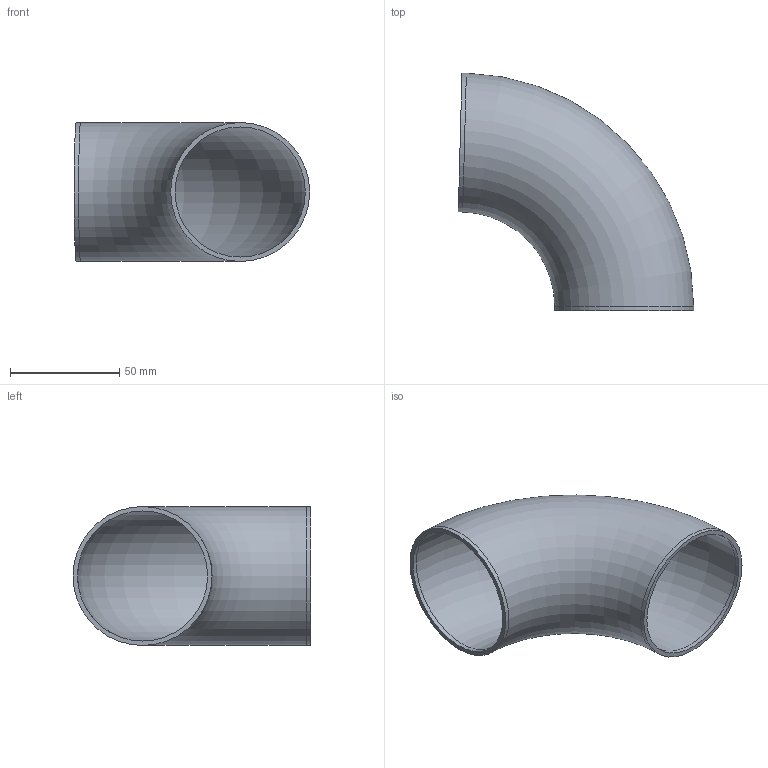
import cadquery as cq

outer_diameter = 63.5
inner_diameter = 59.5
bend_radius = 74.94
bend_angle = 88.5
collar_length = 2.0


def straight_collar():
    """Tube length running along -Y from the start of the bend."""
    return (
        cq.Workplane("XZ", origin=(bend_radius, 0, 0))
        .circle(outer_diameter / 2)
        .circle(inner_diameter / 2)
        .extrude(collar_length)
    )


def curved_tube():
    """Tube revolved about the Z axis, from the +X axis towards +Y."""
    return (
        cq.Workplane("XZ")
        .center(bend_radius, 0)
        .circle(outer_diameter / 2)
        .circle(inner_diameter / 2)
        .revolve(bend_angle, (-bend_radius, 0), (-bend_radius, 1))
    )


start_collar = straight_collar()
end_collar = straight_collar().mirror("XZ").rotate((0, 0, 0), (0, 0, 1), bend_angle)

result = curved_tube().union(start_collar).union(end_collar)